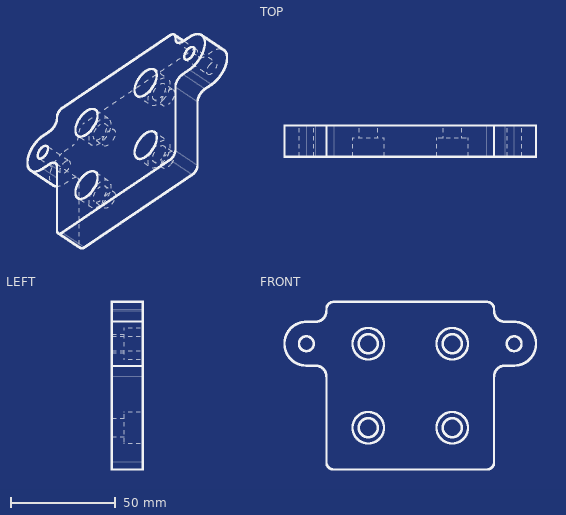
import cadquery as cq

plate_side = 80.0
thickness = 15.0
corner_radius = 3.6

overall_width = 120.0
ear_width = 21.0
ear_radius = ear_width / 2
ear_height = plate_side / 4
ear_blend_radius = 5.0
ear_hole_diameter = 7.0
ear_x = overall_width / 2 - ear_radius

hole_spacing = plate_side / 2
hole_diameter = 9.0
counterbore_diameter = 15.0
counterbore_depth = 9.0


def make_plate():
    """Square plate with rounded corners, front face on Y = 0."""
    plate = cq.Workplane("XZ").rect(plate_side, plate_side).extrude(-thickness)
    return plate.edges("|Y").fillet(corner_radius)


def add_ears(plate):
    """Round-ended bar across the plate, blended into its sides."""
    bar = (
        cq.Workplane("XZ")
        .center(0, ear_height)
        .slot2D(overall_width, ear_width)
        .extrude(-thickness)
    )
    body = plate.union(bar)
    half_side = plate_side / 2
    for x in (-half_side, half_side):
        for z in (ear_height - ear_radius, ear_height + ear_radius):
            inner_corner = cq.selectors.NearestToPointSelector((x, thickness / 2, z))
            body = body.edges("|Y").edges(inner_corner).fillet(ear_blend_radius)
    return body


def cut_holes(body):
    """Counterbored holes in the plate and plain holes in the ears."""
    front = cq.Workplane("XZ")
    pattern = front.rarray(hole_spacing, hole_spacing, 2, 2)
    through_holes = pattern.circle(hole_diameter / 2).extrude(-thickness)
    counterbores = pattern.circle(counterbore_diameter / 2).extrude(-counterbore_depth)
    ear_holes = (
        front.pushPoints([(-ear_x, ear_height), (ear_x, ear_height)])
        .circle(ear_hole_diameter / 2)
        .extrude(-thickness)
    )
    return body.cut(through_holes).cut(counterbores).cut(ear_holes)


result = cut_holes(add_ears(make_plate()))